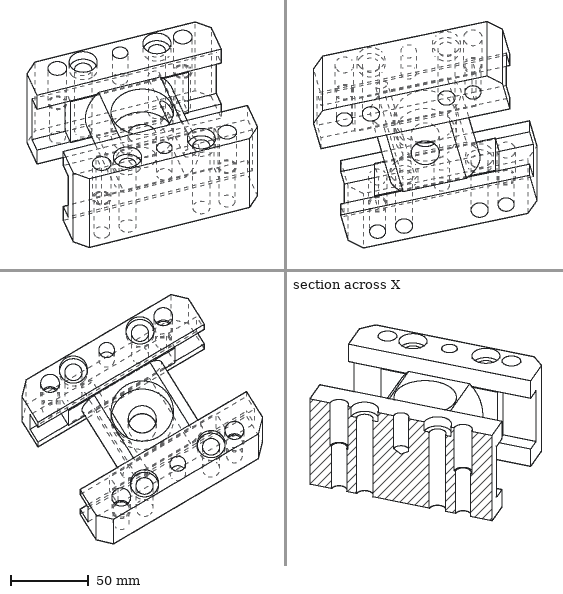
import cadquery as cq
import math

RAIL_LENGTH = 125.0
RAIL_HEIGHT = 65.0
RAIL_OUTER_X = 54.0
RAIL_INNER_X = 26.0
RAIL_CHAMFER = 8.1
SLOT_HEIGHT = 38.5
SLOT_FLOOR_X = 35.8

HOLE_X = 44.0
BOLT_Y = 25.0
BOLT_DIAMETER = 11.0
BOLT_HEAD_DIAMETER = 18.0
BOLT_HEAD_DEPTH = 7.0
END_HOLE_Y = 42.5
END_HOLE_DIAMETER = 12.0
END_HOLE_LOWER_DIAMETER = 10.2
END_HOLE_STEP_DEPTH = RAIL_HEIGHT / 2
CENTRE_HOLE_DIAMETER = 10.0
CENTRE_HOLE_DEPTH = 25.0
DRILL_POINT_ANGLE = 118.0

PLATE_LENGTH = 80.0
PLATE_INNER_X = 25.2
BARREL_DIAMETER = 60.0
BARREL_HEIGHT = 43.0
BORE_DIAMETER = 40.0
BORE_FLOOR_Z = 0.0
THROUGH_DIAMETER = 18.0

PIN_DIAMETER = 8.0
PIN_Y = BORE_DIAMETER / 2
PIN_Z = 12.5
PIN_LENGTH = 2 * SLOT_FLOOR_X


def x_span_block(x_start, x_end, length, height):
    """Block between two X positions, centred in Y and Z."""
    middle_x = (x_start + x_end) / 2
    return cq.Workplane("XY").box(x_end - x_start, length, height).translate((middle_x, 0, 0))


def vertical_hole(y, diameter, depth):
    """Round cutter going down from the top of a rail."""
    return (
        cq.Workplane("XY", origin=(HOLE_X, y, RAIL_HEIGHT / 2 - depth))
        .circle(diameter / 2)
        .extrude(depth)
    )


def drilled_hole():
    """Cutter for the blind centre hole with its conical bottom."""
    radius = CENTRE_HOLE_DIAMETER / 2
    point_depth = radius / math.tan(math.radians(DRILL_POINT_ANGLE / 2))
    profile = [
        (0, 0),
        (radius, 0),
        (radius, -CENTRE_HOLE_DEPTH),
        (0, -CENTRE_HOLE_DEPTH - point_depth),
    ]
    cutter = cq.Workplane("XZ").polyline(profile).close().revolve(360, (0, 0, 0), (0, 1, 0))
    return cutter.translate((HOLE_X, 0, RAIL_HEIGHT / 2))


def make_right_rail():
    rail = x_span_block(RAIL_INNER_X, RAIL_OUTER_X, RAIL_LENGTH, RAIL_HEIGHT)
    rail = rail.edges("|Z and >X").chamfer(RAIL_CHAMFER)
    rail = rail.cut(x_span_block(RAIL_INNER_X, SLOT_FLOOR_X, RAIL_LENGTH, SLOT_HEIGHT))
    for side in (-1, 1):
        rail = rail.cut(vertical_hole(side * BOLT_Y, BOLT_DIAMETER, RAIL_HEIGHT))
        rail = rail.cut(vertical_hole(side * BOLT_Y, BOLT_HEAD_DIAMETER, BOLT_HEAD_DEPTH))
        rail = rail.cut(vertical_hole(side * END_HOLE_Y, END_HOLE_LOWER_DIAMETER, RAIL_HEIGHT))
        rail = rail.cut(vertical_hole(side * END_HOLE_Y, END_HOLE_DIAMETER, END_HOLE_STEP_DEPTH))
    return rail.cut(drilled_hole())


def make_pin():
    return (
        cq.Workplane("YZ", origin=(-PIN_LENGTH / 2, PIN_Y, PIN_Z))
        .circle(PIN_DIAMETER / 2)
        .extrude(PIN_LENGTH)
    )


def make_slider(pin):
    barrel = cq.Workplane("YZ").circle(BARREL_DIAMETER / 2).extrude(PLATE_INNER_X, both=True)
    flats = cq.Workplane("XY").box(2 * PLATE_INNER_X, BARREL_DIAMETER, BARREL_HEIGHT)
    slider = barrel.intersect(flats)

    plate = x_span_block(PLATE_INNER_X, SLOT_FLOOR_X, PLATE_LENGTH, SLOT_HEIGHT)
    slider = slider.union(plate).union(plate.mirror("YZ"))

    bore = (
        cq.Workplane("XY", origin=(0, 0, BORE_FLOOR_Z))
        .circle(BORE_DIAMETER / 2)
        .extrude(BARREL_HEIGHT / 2 - BORE_FLOOR_Z)
    )
    through_hole = cq.Workplane("XY").circle(THROUGH_DIAMETER / 2).extrude(BARREL_HEIGHT / 2, both=True)
    return slider.cut(bore).cut(through_hole).cut(pin)


right_rail = make_right_rail()
rails = [right_rail, right_rail.mirror("YZ")]
pin = make_pin()
slider = make_slider(pin)

result = cq.Compound.makeCompound([*[rail.val() for rail in rails], slider.val(), pin.val()])